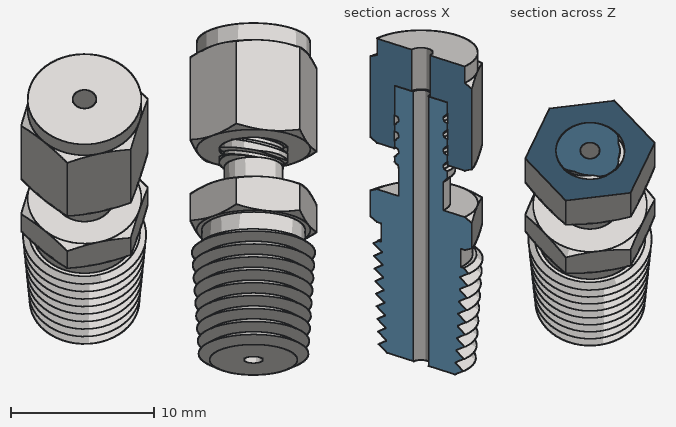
import cadquery as cq
import math


across_flats = 7.94
across_corners = across_flats / math.cos(math.radians(30))
hex_corner_drop = 0.28

pipe_thread_top = 8.31
body_hex_bottom = 9.67
body_hex_top = 12.20
stud_thread_bottom = 14.34
nut_bottom = 15.68
nut_hex_top = 22.37
nut_top = 23.62

thread_pitch = 25.4 / 27
ring_count = 9
lowest_crest_height = 0.46
top_crest_radius = 4.315
top_rim_radius = 3.88
crest_taper = 1 / 16
ring_depth = 0.75
collar_radius = 3.61

neck_radius = 2.045
stud_radius = 2.4
stud_chamfer = stud_radius - neck_radius
stud_engagement = 2 * stud_radius
stud_top = nut_bottom + stud_engagement
groove_tilt = 15.0
groove_flank = 30.0
groove_floor_radius = 2.12
groove_floor_width = 0.26
groove_spacing = 1.21
first_groove_height = 14.915
groove_count = 4
groove_overcut = 0.4
groove_outer_radius = stud_radius + groove_overcut

body_bore_radius = 0.66
nut_bore_radius = 0.82


def cylinder(radius, bottom, top):
    return cq.Workplane("XY").workplane(offset=bottom).circle(radius).extrude(top - bottom)


def chamfered_hexagon(bottom, top):
    """Hexagon with corners on +Y and -Y, both ends turned to a cone from its flats."""
    prism = (
        cq.Workplane("XY")
        .workplane(offset=bottom)
        .polygon(6, across_corners)
        .extrude(top - bottom)
        .rotate((0, 0, 0), (0, 0, 1), 30)
    )
    flat_radius = across_flats / 2
    corner_radius = across_corners / 2
    envelope = (
        cq.Workplane("XZ")
        .moveTo(0, bottom)
        .lineTo(flat_radius, bottom)
        .lineTo(corner_radius, bottom + hex_corner_drop)
        .lineTo(corner_radius, top - hex_corner_drop)
        .lineTo(flat_radius, top)
        .lineTo(0, top)
        .close()
        .revolve(360, (0, 0, 0), (0, 1, 0))
    )
    return prism.intersect(envelope)


def pipe_thread():
    """Tapered stack of V rings below a plain rim."""
    top_crest_height = lowest_crest_height + (ring_count - 1) * thread_pitch

    def crest_radius(height):
        return top_crest_radius - crest_taper * (top_crest_height - height)

    profile = cq.Workplane("XZ").lineTo(crest_radius(0) - ring_depth, 0)
    for ring in range(ring_count):
        crest_height = lowest_crest_height + ring * thread_pitch
        profile = profile.lineTo(crest_radius(crest_height), crest_height)
        if ring < ring_count - 1:
            root_height = crest_height + thread_pitch / 2
            profile = profile.lineTo(crest_radius(root_height) - ring_depth, root_height)
    return (
        profile.lineTo(top_rim_radius, pipe_thread_top)
        .lineTo(0, pipe_thread_top)
        .close()
        .revolve(360, (0, 0, 0), (0, 1, 0))
    )


def stud_groove(height):
    """Cutter for one flat-bottomed V groove, tilted about X around a point on the axis."""
    half_floor = groove_floor_width / 2
    flank_rise = (groove_outer_radius - groove_floor_radius) * math.tan(math.radians(groove_flank))
    half_mouth = half_floor + flank_rise
    return (
        cq.Workplane("YZ")
        .moveTo(groove_floor_radius, -half_floor)
        .lineTo(groove_outer_radius, -half_mouth)
        .lineTo(groove_outer_radius, half_mouth)
        .lineTo(groove_floor_radius, half_floor)
        .close()
        .revolve(360, (0, 0, 0), (0, 1, 0))
        .rotate((0, 0, 0), (1, 0, 0), groove_tilt)
        .translate((0, 0, height))
    )


def threaded_stud():
    stud = cylinder(stud_radius, stud_thread_bottom, stud_top).faces("<Z").chamfer(stud_chamfer)
    for groove in range(groove_count):
        stud = stud.cut(stud_groove(first_groove_height + groove * groove_spacing))
    return stud


def make_body():
    body = pipe_thread()
    body = body.union(cylinder(collar_radius, pipe_thread_top, body_hex_bottom))
    body = body.union(chamfered_hexagon(body_hex_bottom, body_hex_top))
    body = body.union(cylinder(neck_radius, body_hex_top, stud_thread_bottom))
    body = body.union(threaded_stud())
    return body.cut(cylinder(body_bore_radius, 0, stud_top))


def make_nut():
    """Hexagon nut with a round cap, a socket for the stud and a tube hole through the cap."""
    nut = chamfered_hexagon(nut_bottom, nut_hex_top)
    nut = nut.union(cylinder(across_flats / 2, nut_hex_top, nut_top))
    nut = nut.cut(cylinder(stud_radius, nut_bottom, stud_top))
    return nut.cut(cylinder(nut_bore_radius, stud_top, nut_top))


body = make_body()
nut = make_nut()

result = cq.Compound.makeCompound([body.solids().val(), nut.solids().val()])